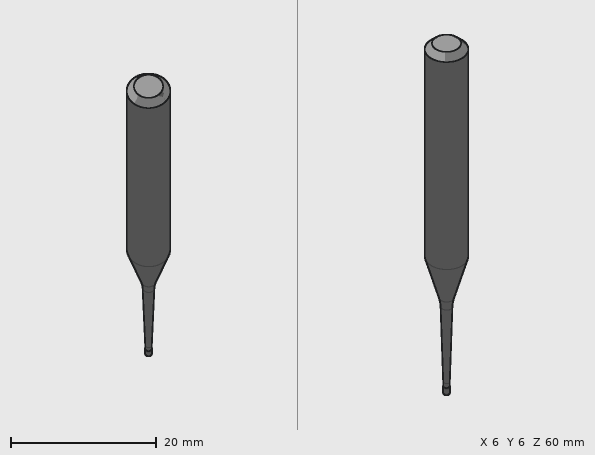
import cadquery as cq
import math

overall_length = 60.0
shank_radius = 3.0
end_chamfer = 1.0

head_radius = 0.5
head_length = 1.5
head_cylinder_end = 1.38

neck_radius = 0.47
neck_straight_end = 2.3
neck_taper_end = 15.1
neck_taper_angle = math.radians(1.6)

shoulder_angle = math.radians(15.5)
blend_radius = 6.5

neck_top_radius = neck_radius + (neck_taper_end - neck_straight_end) * math.tan(neck_taper_angle)


def blend_point(angle):
    """Point (radius, height) where the blend arc has the given slope from the tool axis."""
    radius = neck_top_radius + blend_radius * (math.cos(neck_taper_angle) - math.cos(angle))
    height = neck_taper_end + blend_radius * (math.sin(angle) - math.sin(neck_taper_angle))
    return radius, height


blend_middle = blend_point((neck_taper_angle + shoulder_angle) / 2)
blend_end = blend_point(shoulder_angle)
shoulder_top = blend_end[1] + (shank_radius - blend_end[0]) / math.tan(shoulder_angle)


def make_cutting_head():
    """Short cylinder with a hemispherical tip, narrowing to the neck at its back end."""
    tip_arc_middle = (
        head_radius * math.sin(math.pi / 4),
        head_radius * (1 - math.cos(math.pi / 4)),
    )
    return (
        cq.Workplane("YZ")
        .moveTo(0, 0)
        .threePointArc(tip_arc_middle, (head_radius, head_radius))
        .lineTo(head_radius, head_cylinder_end)
        .lineTo(neck_radius, head_length)
        .lineTo(0, head_length)
        .close()
        .revolve(360, (0, 0, 0), (0, 1, 0))
    )


def make_shank():
    """Neck, shoulder and chamfered shank, standing on the flat top of the cutting head."""
    return (
        cq.Workplane("YZ")
        .moveTo(0, head_length)
        .lineTo(neck_radius, head_length)
        .lineTo(neck_radius, neck_straight_end)
        .lineTo(neck_top_radius, neck_taper_end)
        .threePointArc(blend_middle, blend_end)
        .lineTo(shank_radius, shoulder_top)
        .lineTo(shank_radius, overall_length - end_chamfer)
        .lineTo(shank_radius - end_chamfer, overall_length)
        .lineTo(0, overall_length)
        .close()
        .revolve(360, (0, 0, 0), (0, 1, 0))
    )


cutting_head = make_cutting_head()
shank = make_shank()
result = cq.Compound.makeCompound([cutting_head.val(), shank.val()])